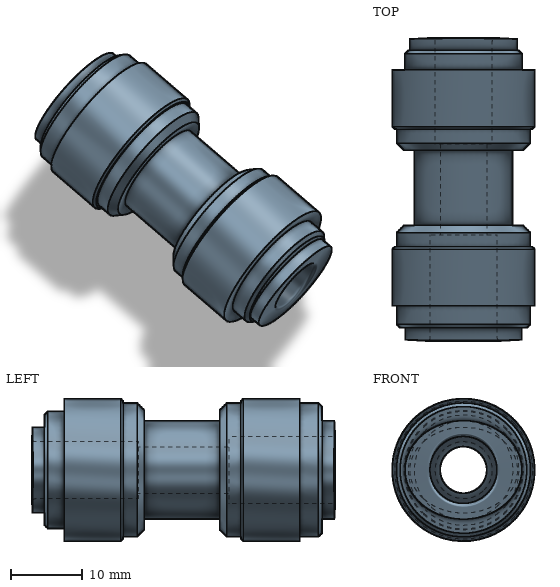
import cadquery as cq

length = 42.5
front_y = -length / 2
rear_y = length / 2
neck_diameter = 13.8
neck_length = 10.55
neck_center_y = 0.2

collar_diameter = 20.0
collar_length = 8.3
collar_chamfer = 0.35
shoulder_diameter = 18.8
shoulder_chamfer = 1.0
shoulder_length = 2.98
cap_chamfer = 0.5
front_cap_diameter = shoulder_diameter
rear_cap_diameter = 16.5
front_cap_length = 3.1
rear_cap_length = 2.75

front_collet_width = 16.35
front_collet_height = 13.8
rear_collet_width = 15.1
rear_collet_height = 12.03
face_slope_depth = 0.15

bore_diameter = 6.5
front_socket_diameter = 9.4
rear_socket_diameter = 8.0
socket_depth = 14.88
mouth_round = 0.5


def y_cylinder(diameter, start_y, end_y):
    """Cylinder on the Y axis; start_y is the lower Y."""
    sketch = cq.Workplane("XZ", origin=(0, start_y, 0)).circle(diameter / 2)
    return sketch.extrude(start_y - end_y)


def make_head(neck_end_y, direction, cap_diameter, cap_length):
    """Shoulder, collar and cap revolved about Y, going outward from the neck."""
    collar_start_y = neck_end_y + direction * shoulder_length
    collar_end_y = collar_start_y + direction * collar_length
    cap_end_y = collar_end_y + direction * cap_length
    shoulder_radius = shoulder_diameter / 2
    collar_radius = collar_diameter / 2
    cap_radius = cap_diameter / 2
    profile = [
        (0, neck_end_y),
        (shoulder_radius - shoulder_chamfer, neck_end_y),
        (shoulder_radius, neck_end_y + direction * shoulder_chamfer),
        (shoulder_radius, collar_start_y),
        (collar_radius - collar_chamfer, collar_start_y),
        (collar_radius, collar_start_y + direction * collar_chamfer),
        (collar_radius, collar_end_y),
        (cap_radius, collar_end_y),
        (cap_radius, cap_end_y - direction * cap_chamfer),
        (cap_radius - cap_chamfer, cap_end_y),
        (0, cap_end_y),
    ]
    return cq.Workplane("XY").polyline(profile).close().revolve(360, (0, 0, 0), (0, 1, 0))


def make_collet(end_y, direction, width, height, socket_diameter):
    """Oval collet reaching from the neck to the end, trimmed by a shallow cone."""
    inner_y = neck_center_y + direction * neck_length / 2
    oval = cq.Workplane("XZ", origin=(0, inner_y, 0)).ellipse(width / 2, height / 2)
    oval = oval.extrude(inner_y - end_y)
    mouth_radius = socket_diameter / 2 + mouth_round
    trim_profile = [
        (0, inner_y),
        (width / 2, inner_y),
        (width / 2, end_y - direction * face_slope_depth),
        (mouth_radius, end_y),
        (0, end_y),
    ]
    trim = cq.Workplane("XY").polyline(trim_profile).close().revolve(360, (0, 0, 0), (0, 1, 0))
    return oval.intersect(trim)


def make_socket(end_y, direction, diameter):
    """Cutter for a blind tube socket with a rounded mouth."""
    radius = diameter / 2
    cutter = (
        cq.Workplane("XY")
        .moveTo(0, end_y)
        .lineTo(radius + mouth_round, end_y)
        .radiusArc((radius, end_y - direction * mouth_round), -direction * mouth_round)
        .lineTo(radius, end_y - direction * socket_depth)
        .lineTo(0, end_y - direction * socket_depth)
        .close()
    )
    return cutter.revolve(360, (0, 0, 0), (0, 1, 0))


neck_front_y = neck_center_y - neck_length / 2
neck_rear_y = neck_center_y + neck_length / 2

body = y_cylinder(neck_diameter, neck_front_y, neck_rear_y)
body = body.union(make_head(neck_front_y, -1, front_cap_diameter, front_cap_length))
body = body.union(make_head(neck_rear_y, 1, rear_cap_diameter, rear_cap_length))
body = body.union(
    make_collet(front_y, -1, front_collet_width, front_collet_height, front_socket_diameter)
)
body = body.union(
    make_collet(rear_y, 1, rear_collet_width, rear_collet_height, rear_socket_diameter)
)
body = body.cut(y_cylinder(bore_diameter, front_y, rear_y))
body = body.cut(make_socket(front_y, -1, front_socket_diameter))
result = body.cut(make_socket(rear_y, 1, rear_socket_diameter))